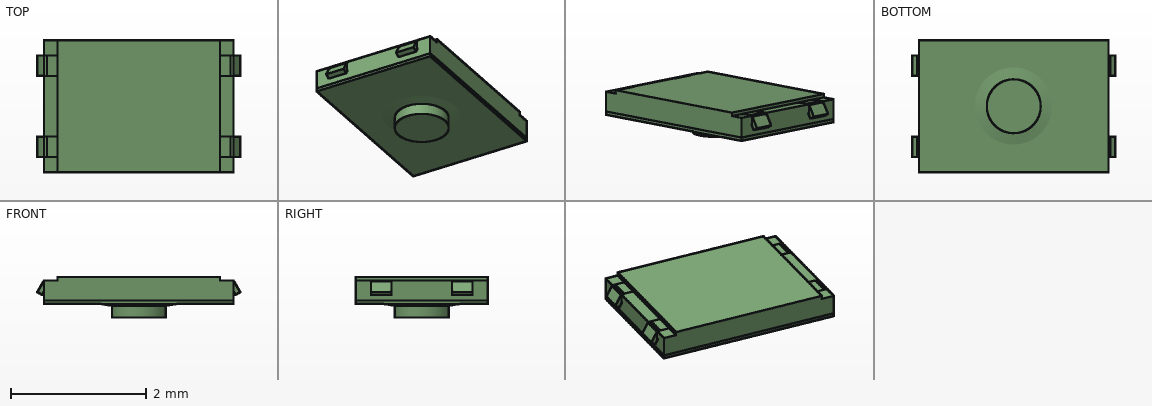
import cadquery as cq
import math

housing_length = 2.8
width = 1.95
lid_length = 2.4
lid_height = 0.05

overall_height = 0.6
plate_bottom = 0.2
plate_thickness = 0.05
plate_top = plate_bottom + plate_thickness
shoulder_z = overall_height - lid_height

button_radius = 0.4
cone_radius = 0.57
cone_height = 0.027
button_height = plate_bottom - cone_height

overall_length = 3.0
terminal_width = 0.3
terminal_pitch = 1.2
terminal_thickness = 0.08
bend_start = 1.353
bend_angle = math.radians(60)


def make_terminal(side, y):
    """One terminal: a flat strip under the shoulder, a round bend and a sloping leg."""
    flat_start = lid_length / 2
    inner_z = shoulder_z - terminal_thickness

    def on_bend(angle):
        return (
            bend_start + terminal_thickness * math.sin(angle),
            inner_z + terminal_thickness * math.cos(angle),
        )

    bend_end = on_bend(bend_angle)
    tip_x = overall_length / 2
    leg_run = tip_x - bend_end[0]
    leg_drop = leg_run * math.tan(bend_angle)
    outer_tip = (tip_x, bend_end[1] - leg_drop)
    inner_tip = (bend_start + leg_run, inner_z - leg_drop)
    terminal = (
        cq.Workplane("XZ", origin=(0, y, 0))
        .moveTo(flat_start, shoulder_z)
        .lineTo(bend_start, shoulder_z)
        .threePointArc(on_bend(bend_angle / 2), bend_end)
        .lineTo(*outer_tip)
        .lineTo(*inner_tip)
        .lineTo(bend_start, inner_z)
        .lineTo(flat_start, inner_z)
        .close()
        .extrude(terminal_width / 2, both=True)
    )
    if side < 0:
        terminal = terminal.mirror("YZ")
    return terminal


def make_housing(terminals):
    """Stepped block with a matching recess for every terminal."""
    block = cq.Workplane("XY", origin=(0, 0, plate_top)).box(
        housing_length, width, shoulder_z - plate_top, centered=(True, True, False)
    )
    lid = cq.Workplane("XY", origin=(0, 0, shoulder_z)).box(
        lid_length, width, lid_height, centered=(True, True, False)
    )
    housing = block.union(lid)
    for terminal in terminals:
        housing = housing.cut(terminal)
    return housing


def make_button_plate():
    """Bottom plate with a shallow cone and a round button below it."""
    plate = cq.Workplane("XY", origin=(0, 0, plate_bottom)).box(
        housing_length, width, plate_thickness, centered=(True, True, False)
    )
    button = (
        cq.Workplane("XZ")
        .lineTo(button_radius, 0)
        .lineTo(button_radius, button_height)
        .lineTo(cone_radius, plate_bottom)
        .lineTo(0, plate_bottom)
        .close()
        .revolve(360, (0, 0), (0, 1))
    )
    return plate.union(button)


positions = [(side, row * terminal_pitch / 2) for side in (-1, 1) for row in (-1, 1)]
terminals = [make_terminal(side, y) for side, y in positions]
housing = make_housing(terminals)
button_plate = make_button_plate()

result = cq.Compound.makeCompound(
    [housing.val(), button_plate.val(), *[terminal.val() for terminal in terminals]]
)